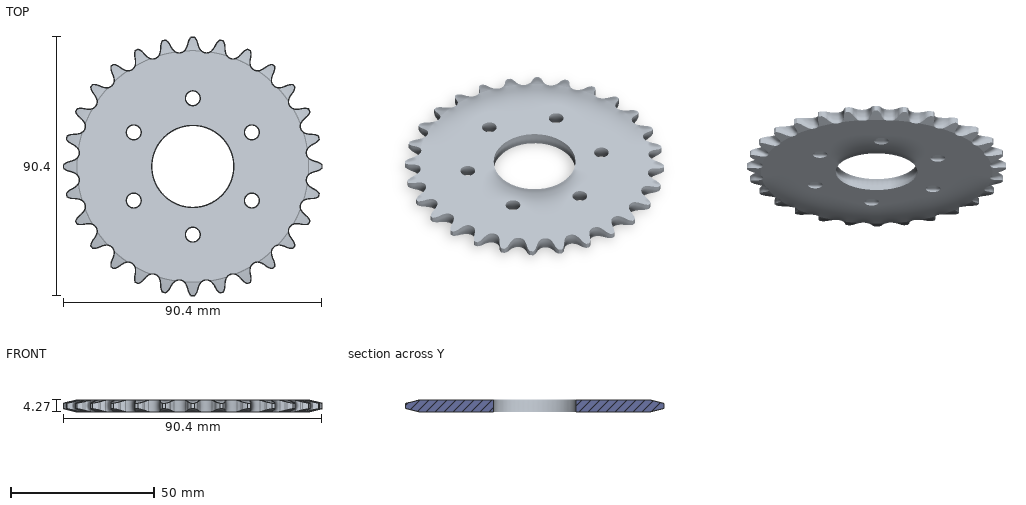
import cadquery as cq
import math

INCH = 25.4
tooth_count = 28
chain_pitch = 0.375 * INCH
roller_diameter = 0.2 * INCH
thickness = 4.27
outer_radius = 90.38 / 2

bore_diameter = 1.125 * INCH
bolt_count = 6
bolt_circle_diameter = 1.875 * INCH
bolt_hole_diameter = 0.201 * INCH
first_bolt_angle = 90

bevel_width = chain_pitch / 2
bevel_depth = chain_pitch / 8
envelope_overrun = 1.5

tooth_angle = 360 / tooth_count
half_tooth_angle = tooth_angle / 2
pitch_radius = chain_pitch / (2 * math.sin(math.radians(half_tooth_angle)))

seat_clearance = 0.003 * INCH
seat_radius = (1.005 * roller_diameter + seat_clearance) / 2
seat_angle = 35 + 60 / tooth_count
working_sweep = 18 - 56 / tooth_count
flat_angle = 17 - 64 / tooth_count
working_center_distance = 0.8 * roller_diameter
working_radius = working_center_distance + seat_radius
tip_center_distance = 1.4 * roller_diameter
tip_radius = (
    working_center_distance * math.cos(math.radians(working_sweep))
    + tip_center_distance * math.cos(math.radians(flat_angle))
    - working_radius
)


def offset(point, distance, angle):
    """Point at a distance from another, along a direction in degrees."""
    turn = math.radians(angle)
    return (point[0] + distance * math.cos(turn), point[1] + distance * math.sin(turn))


def rotate(point, angle):
    """Point turned about the sprocket axis."""
    reach = math.hypot(point[0], point[1])
    return offset((0, 0), reach, math.degrees(math.atan2(point[1], point[0])) + angle)


def mirror(point):
    """Point reflected to the other flank of a gap centred on +Y."""
    return (-point[0], point[1])


def outer_circle_angle(center, radius):
    """Direction from an arc centre to where the arc crosses the outer circle."""
    reach = math.hypot(center[0], center[1])
    center_angle = math.degrees(math.atan2(center[1], center[0]))
    cosine = (outer_radius**2 - reach**2 - radius**2) / (2 * reach * radius)
    return center_angle + math.degrees(math.acos(cosine))


seat_center = (0, pitch_radius)
gap_bottom = offset(seat_center, seat_radius, -90)
seat_end = offset(seat_center, seat_radius, -seat_angle)

working_center = offset(seat_center, working_center_distance, 180 - seat_angle)
working_end_angle = working_sweep - seat_angle
working_middle = offset(working_center, working_radius, working_sweep / 2 - seat_angle)
working_end = offset(working_center, working_radius, working_end_angle)

tip_center = offset(seat_center, tip_center_distance, -half_tooth_angle)
tip_start_angle = 180 + working_end_angle
tip_end_angle = outer_circle_angle(tip_center, tip_radius)
tip_start = offset(tip_center, tip_radius, tip_start_angle)
tip_middle = offset(tip_center, tip_radius, (tip_start_angle + tip_end_angle) / 2)
tip_end = offset(tip_center, tip_radius, tip_end_angle)

tooth_crest = offset((0, 0), outer_radius, 90 - half_tooth_angle)


def add_gap_and_tip(outline, angle):
    """Trace one gap clockwise from its left tip to its right, then the next tooth's tip."""

    def place(point):
        return rotate(point, angle)

    return (
        outline.threePointArc(place(mirror(tip_middle)), place(mirror(tip_start)))
        .lineTo(*place(mirror(working_end)))
        .threePointArc(place(mirror(working_middle)), place(mirror(seat_end)))
        .threePointArc(place(gap_bottom), place(seat_end))
        .threePointArc(place(working_middle), place(working_end))
        .lineTo(*place(tip_start))
        .threePointArc(place(tip_middle), place(tip_end))
        .threePointArc(place(tooth_crest), rotate(mirror(tip_end), angle - tooth_angle))
    )


def toothed_plate():
    """Full-thickness plate with the tooth outline, one tooth centred on +Y."""
    first_gap = -half_tooth_angle
    outline = cq.Workplane("XY").moveTo(*rotate(mirror(tip_end), first_gap))
    for index in range(tooth_count):
        outline = add_gap_and_tip(outline, first_gap - index * tooth_angle)
    return outline.close().extrude(thickness / 2, both=True)


def beveled_envelope():
    """Disc tapering towards its rim on both faces."""
    half_thickness = thickness / 2
    flat_radius = outer_radius - bevel_width
    rim_radius = flat_radius + envelope_overrun * bevel_width
    rim_half_thickness = half_thickness - envelope_overrun * bevel_depth
    profile = [
        (0, -half_thickness),
        (-flat_radius, -half_thickness),
        (-rim_radius, -rim_half_thickness),
        (-rim_radius, rim_half_thickness),
        (-flat_radius, half_thickness),
        (0, half_thickness),
    ]
    return cq.Workplane("XZ").polyline(profile).close().revolve(360, (0, 0), (0, 1))


def hub_openings():
    """Cutters for the central bore and the bolt holes."""
    bore = cq.Workplane("XY").circle(bore_diameter / 2)
    bore = bore.extrude(thickness, both=True)
    bolts = cq.Workplane("XY").polarArray(bolt_circle_diameter / 2, first_bolt_angle, 360, bolt_count)
    bolts = bolts.circle(bolt_hole_diameter / 2).extrude(thickness, both=True)
    return bore.union(bolts)


result = toothed_plate().intersect(beveled_envelope()).cut(hub_openings())